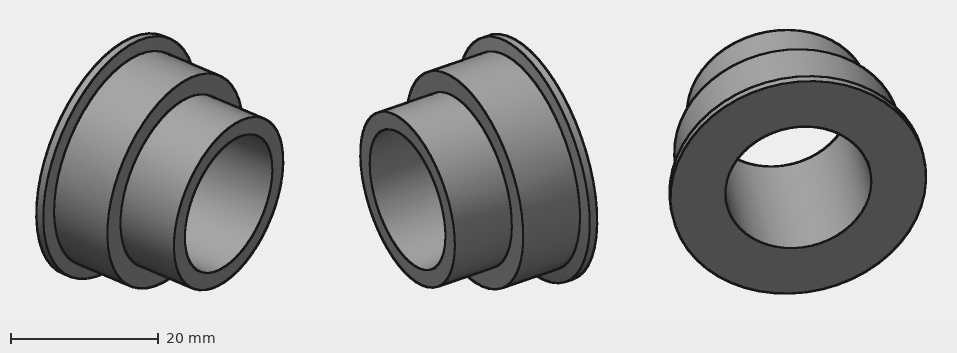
import cadquery as cq

flange_diameter = 35.0
body_diameter = 31.0
spigot_diameter = 25.0
bore_diameter = 20.0

total_length = 19.5
flange_thickness = 1.55
flange_rim_width = 1.2
body_end = 10.5

flange_radius = flange_diameter / 2
body_radius = body_diameter / 2
spigot_radius = spigot_diameter / 2
bore_radius = bore_diameter / 2

half_section = (
    cq.Workplane("XZ")
    .moveTo(0, bore_radius)
    .lineTo(0, flange_radius)
    .lineTo(flange_rim_width, flange_radius)
    .lineTo(flange_thickness, body_radius)
    .lineTo(body_end, body_radius)
    .lineTo(body_end, spigot_radius)
    .lineTo(total_length, spigot_radius)
    .lineTo(total_length, bore_radius)
    .close()
)

result = half_section.revolve(360, (0, 0, 0), (1, 0, 0))